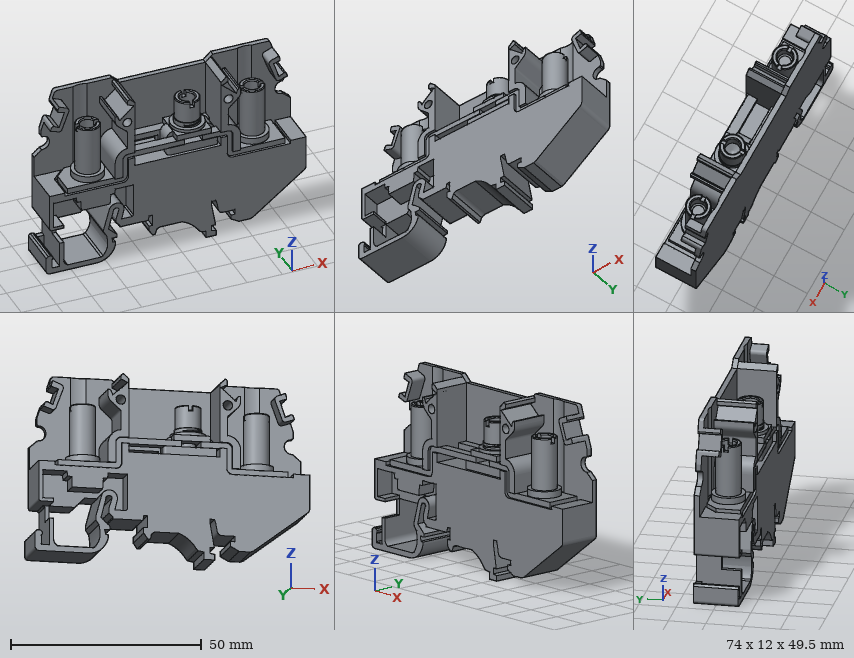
import cadquery as cq
import math


overall_length = 74.0
depth = 12.0
back_wall = 1.5
back_face = depth - back_wall
half_width = 36.5
foot_left = half_width - overall_length
housing_top = 49.5
centre_top = 47.5
shoulder_z = 24.25
base_bottom = 13.35
base_corner = 0.7
pocket_depth = 5.2
pocket_lip = 0.9
plate_overlap = 3.0
bay_half_width = 12.25
bay_floor = 27.8

axis_y = 5.5
bar_thickness = 1.6
bar_front = 0.7
bar_low = 23.3
bar_high = 30.2
bar_low_top = bar_low + bar_thickness
bar_high_top = bar_high + bar_thickness
bar_back = 10.3
bar_left_end = -31.2
bar_right_end = 30.8
bar_corner = 3.1
bar_inner = 14.1
bar_outer = bar_inner + bar_thickness
bar_bend = 1.6
bar_recess_end = 32.1
bar_slot_width = 4.2
bar_slot_y = (axis_y - bar_slot_width / 2, axis_y + bar_slot_width / 2)

terminal_x = 23.4
terminal_diameter = 6.8
terminal_top = 40.7
terminal_collar_diameter = 9.0
terminal_collar_height = 1.8
terminal_relief_radius = 5.4
disconnect_x = 4.95
disconnect_diameter = 6.85
disconnect_top = 41.8
disconnect_head_bottom = 35.7
shank_diameter = 4.2
bore_diameter = 4.2
bore_depth = 4.0
drill_angle = 118.0
bore_chamfer = 0.3
terminal_bore_floor = 3.2
rim_chamfer = 0.25
driver_slot_width = 1.2
driver_slot_depth = 1.5

block_width = 9.85
block_height = 1.6
washer_diameter = 9.5
washer_height = 0.9
spring_washer_diameter = 7.3
split_length = 6.0
split_offset = 1.0
split_gap = 0.35
split_tilt = 5.0
slide_left = -2.5
slide_right = 11.6
slide_corner = 0.75
slide_front = 0.9
block_front = 0.8
rib_half_length = 6.9
rib_corner = 2.5
bar_notch_left = 2.1
bar_notch_width = 5.2

probe_hole_diameter = 2.5
probe_hole_x = 14.4
probe_hole_z = 41.8
clip_front = 6.0
release_window_bottom = 8.9
strip_left = -33.65
strip_right = -32.5
strip_fillet = 0.45
foot_corner = 1.05
hook_groove_left = -35.8
hook_groove_floor = 1.7
hook_web_top = 5.05


def prism(outline, front, back):
    """Extrude a closed XZ outline from Y = front to Y = back."""
    return outline.extrude(front - back).translate((0, front, 0))


def sketch(x, z):
    return cq.Workplane("XZ").moveTo(x, z)


def box(x_range, y_range, z_range):
    size = [high - low for low, high in (x_range, y_range, z_range)]
    corner = (x_range[0], y_range[0], z_range[0])
    return cq.Workplane("XY").box(*size, centered=False).translate(corner)


def disc(x, diameter, bottom, top):
    return cq.Workplane("XY", origin=(x, axis_y, bottom)).circle(diameter / 2).extrude(top - bottom)


def mirrored(left):
    """A left-hand feature together with its right-hand twin."""
    return left.union(left.mirror("YZ"))


def base():
    """Solid lower housing with the rail feet and the sprung release foot."""
    outline = (
        sketch(-half_width, shoulder_z)
        .lineTo(-half_width, base_bottom + base_corner)
        .radiusArc((-half_width + base_corner, base_bottom), -base_corner)
        .lineTo(strip_left - strip_fillet, base_bottom)
        .lineTo(strip_left, base_bottom - strip_fillet)
        .lineTo(strip_left, hook_groove_floor)
        .lineTo(hook_groove_left + 0.2, hook_groove_floor)
        .lineTo(hook_groove_left, hook_groove_floor + 0.3)
        .lineTo(hook_groove_left, 4.2)
        .lineTo(-35.55, 4.5)
        .lineTo(-35.55, hook_web_top)
        .lineTo(-35.9, 5.4)
        .lineTo(-36.3, 5.6)
        .lineTo(-36.95, 5.6)
        .lineTo(foot_left, hook_web_top)
        .lineTo(foot_left, foot_corner)
        .radiusArc((foot_left + foot_corner, 0), -foot_corner)
        .lineTo(-22.9, 0)
        .threePointArc((-19.6, 1.3), (-17.75, 4.5))
        .lineTo(-17.75, 5.2)
        .lineTo(-18.5, 5.35)
        .lineTo(-18.75, 6.6)
        .lineTo(-17.3, 6.65)
        .lineTo(-17.3, 7.5)
        .lineTo(-19.75, 9.8)
        .lineTo(-18.3, 15.4)
        .threePointArc((-17.6, 15.8), (-16.75, 15.2))
        .lineTo(-17.6, 12.4)
        .lineTo(-17.6, 11.1)
        .lineTo(-16.5, 10.0)
        .lineTo(-16.5, 9.6)
        .lineTo(-8.5, 9.6)
        .lineTo(-8.2, 10.9)
        .lineTo(-7.3, 10.9)
        .lineTo(-7.3, 7.75)
        .lineTo(-8.25, 7.75)
        .lineTo(-8.25, 6.2)
        .lineTo(-7.2, 4.7)
        .lineTo(-6.5, 4.7)
        .lineTo(-6.0, 6.1)
        .threePointArc((-5.5, 6.5), (-4.5, 6.65))
        .lineTo(1.2, 6.65)
        .threePointArc((3.7, 5.2), (5.9, 2.75))
        .lineTo(6.4, 2.25)
        .lineTo(8.0, 1.95)
        .lineTo(8.0, 0)
        .lineTo(10.9, 0)
        .lineTo(10.9, 1.5)
        .lineTo(9.6, 1.75)
        .lineTo(9.6, 3.3)
        .lineTo(10.75, 3.3)
        .lineTo(9.6, 9.8)
        .lineTo(9.6, 10.9)
        .lineTo(10.8, 10.9)
        .lineTo(11.15, 9.8)
        .lineTo(11.5, 7.8)
        .threePointArc((12.0, 6.95), (12.75, 6.65))
        .lineTo(16.3, 6.65)
        .lineTo(16.3, 5.25)
        .lineTo(15.15, 5.2)
        .lineTo(15.15, 3.9)
        .lineTo(17.4, 2.65)
        .lineTo(20.5, 2.65)
        .lineTo(21.3, 2.95)
        .lineTo(35.6, 13.8)
        .threePointArc((36.25, 14.4), (half_width, 15.2))
        .lineTo(half_width, shoulder_z)
        .lineTo(bar_recess_end, shoulder_z)
        .lineTo(bar_recess_end, bar_low)
        .lineTo(bar_outer, bar_low)
        .threePointArc(bend_point(1), (bar_inner, bar_low + bar_bend))
        .lineTo(bar_inner, bar_high)
        .lineTo(bay_half_width, bar_high)
        .lineTo(bay_half_width, bay_floor)
        .lineTo(-bay_half_width, bay_floor)
        .lineTo(-bay_half_width, bar_high)
        .lineTo(-bar_inner, bar_high)
        .lineTo(-bar_inner, bar_low + bar_bend)
        .threePointArc(bend_point(-1), (-bar_outer, bar_low))
        .lineTo(-bar_recess_end, bar_low)
        .lineTo(-bar_recess_end, shoulder_z)
        .close()
    )
    return prism(outline, 0, depth)


def bend_point(side):
    """Middle of the rounded outer corner where the busbar turns upward."""
    inset = bar_bend * (1 - math.sqrt(0.5))
    return (side * (bar_inner + inset), bar_low + inset)


def upper_bend_point():
    """Middle of the rounded outer corner where the left leg meets the raised middle."""
    inset = bar_bend * (1 - math.sqrt(0.5))
    return (-bar_outer + inset, bar_high_top - inset)


def foot_opening():
    """Opening inside the release foot, right through the housing."""
    outline = (
        sketch(strip_right, base_bottom)
        .lineTo(strip_right, 3.5)
        .threePointArc((-32.2, 2.3), (-31.4, 1.55))
        .lineTo(-21.9, 1.55)
        .lineTo(-21.3, 1.85)
        .threePointArc((-20.4, 3.3), (-20.0, 4.8))
        .threePointArc((-20.05, 6.3), (-20.3, 7.8))
        .lineTo(-21.15, 9.0)
        .lineTo(-21.15, 10.0)
        .lineTo(-19.5, 16.0)
        .lineTo(-22.9, 16.0)
        .lineTo(-25.6, base_bottom)
        .close()
    )
    return prism(outline, 0, depth)


def base_pocket():
    """Blind pocket above the release foot."""
    lip_top = base_bottom + pocket_lip
    outline = (
        sketch(-35.4, lip_top)
        .lineTo(-35.4, 21.8)
        .lineTo(-28.9, 21.8)
        .lineTo(-28.75, 20.45)
        .lineTo(-27.6, 20.35)
        .lineTo(-27.5, 17.55)
        .lineTo(-19.3, 17.55)
        .lineTo(-19.1, 20.4)
        .lineTo(-18.0, 20.5)
        .lineTo(-17.8, 21.8)
        .lineTo(-12.65, 21.8)
        .lineTo(-12.65, 12.4)
        .lineTo(-13.05, 12.0)
        .lineTo(-16.0, 12.0)
        .lineTo(-15.35, 14.8)
        .threePointArc((-17.4, 17.3), (-19.5, 16.0))
        .lineTo(-22.9, 16.0)
        .lineTo(-25.6, base_bottom)
        .lineTo(strip_right, base_bottom)
        .lineTo(strip_right, lip_top)
        .close()
    )
    return prism(outline, 0, pocket_depth)


def hook_web():
    """Thin web closing the hook groove at the back."""
    x_range = (hook_groove_left - 0.5, strip_left)
    return box(x_range, (back_face, depth), (hook_groove_floor, hook_web_top))


def release_window():
    """Opening in the front part of the strip that joins the foot to the base."""
    x_range = (strip_left - strip_fillet, strip_right)
    return box(x_range, (0, pocket_depth), (release_window_bottom, base_bottom))


def back_plate():
    """Upper back wall with marker seats, hand notches and a lower middle."""
    half = (
        sketch(0, bar_low - plate_overlap)
        .lineTo(-half_width, bar_low - plate_overlap)
        .lineTo(-half_width, 30.2)
        .lineTo(-34.4, 32.0)
        .lineTo(-33.6, 32.15)
        .threePointArc((-32.1, 34.1), (-33.6, 36.0))
        .lineTo(-34.2, 36.05)
        .lineTo(-34.5, 36.4)
        .lineTo(-34.5, 38.1)
        .lineTo(-34.35, 38.6)
        .lineTo(-33.75, 40.4)
        .lineTo(-31.4, 40.0)
        .lineTo(-29.2, 46.0)
        .lineTo(-31.3, 47.35)
        .lineTo(-30.75, 49.0)
        .threePointArc((-30.4, 49.35), (-29.8, housing_top))
        .lineTo(-14.4, housing_top)
        .lineTo(-bay_half_width, centre_top)
        .lineTo(0, centre_top)
        .close()
    )
    return mirrored(prism(half, back_face, depth))


def marker_clips():
    """C-shaped marker holders on both outer edges."""
    left = (
        sketch(-31.3, 47.35)
        .lineTo(-29.2, 46.5)
        .threePointArc((-28.6, 46.0), (-28.5, 45.3))
        .lineTo(-30.45, 40.1)
        .threePointArc((-30.8, 39.7), (-31.4, 39.6))
        .lineTo(-33.75, 40.4)
        .lineTo(-33.5, 41.15)
        .threePointArc((-33.2, 41.55), (-32.7, 41.65))
        .lineTo(-32.35, 41.45)
        .lineTo(-31.3, 40.9)
        .lineTo(-29.8, 45.2)
        .lineTo(-31.65, 45.8)
        .lineTo(-31.65, 46.3)
        .close()
    )
    return mirrored(prism(left, clip_front, depth))


def partition_walls():
    """Walls beside the middle bay, each with a marker seat near its top."""
    left = (
        sketch(-bay_half_width, centre_top)
        .lineTo(-13.75, 48.9)
        .lineTo(-14.3, 48.4)
        .lineTo(-14.3, 47.3)
        .lineTo(-13.8, 47.1)
        .lineTo(-12.6, 46.5)
        .lineTo(-16.6, 42.95)
        .lineTo(-17.0, 44.0)
        .lineTo(-17.35, 44.4)
        .lineTo(-17.85, 44.4)
        .lineTo(-17.85, 43.0)
        .threePointArc((-17.66, 42.09), (-17.1, 41.3))
        .lineTo(-14.68, 39.1)
        .threePointArc((-14.43, 38.78), (-14.35, 38.4))
        .lineTo(-14.35, 33.7)
        .threePointArc((-16.75, 32.55), (-17.85, 29.85))
        .lineTo(-17.85, bar_low_top)
        .lineTo(-bar_outer, bar_low_top)
        .lineTo(-bar_outer, bar_high_top - bar_bend)
        .threePointArc(upper_bend_point(), (-bar_outer + bar_bend, bar_high_top))
        .lineTo(-bay_half_width, bar_high_top)
        .close()
    )
    walls = prism(left, 0, back_face)
    hole = sketch(-probe_hole_x, probe_hole_z).circle(probe_hole_diameter / 2)
    return mirrored(walls.cut(prism(hole, 0, back_face)))


def cornered_plan(left_end, right_end, front, back, corner):
    """Plan outline with its rear left corner cut off at 45 degrees."""
    return (
        cq.Workplane("XY")
        .moveTo(left_end, front)
        .lineTo(right_end, front)
        .lineTo(right_end, back)
        .lineTo(left_end + corner, back)
        .lineTo(left_end, back - corner)
        .close()
    )


def recess_corner():
    """Housing left standing in the rear left corner of the busbar recess."""
    size = bar_corner + back_face - bar_back
    plan = cornered_plan(-bar_recess_end, bar_recess_end, 0, back_face, size)
    inner = plan.extrude(shoulder_z - bar_low).translate((0, 0, bar_low))
    recess = box((-bar_recess_end, bar_recess_end), (0, back_face), (bar_low, shoulder_z))
    return recess.cut(inner)


def bar_notch():
    """Clearance in front of the screw shank."""
    x_range = (bar_notch_left, bar_notch_left + bar_notch_width)
    return box(x_range, (bar_front, axis_y), (bar_high, bar_high_top))


def busbar():
    """Bent current bar, slotted along its raised middle and notched at the screw."""
    half = (
        sketch(0, bar_high)
        .lineTo(-bar_inner, bar_high)
        .lineTo(-bar_inner, bar_low + bar_bend)
        .threePointArc(bend_point(-1), (-bar_outer, bar_low))
        .lineTo(bar_left_end, bar_low)
        .lineTo(bar_left_end, bar_low_top)
        .lineTo(-bar_outer, bar_low_top)
        .lineTo(-bar_outer, bar_high_top - bar_bend)
        .threePointArc(upper_bend_point(), (-bar_outer + bar_bend, bar_high_top))
        .lineTo(0, bar_high_top)
        .close()
    )
    bar = mirrored(prism(half, bar_front, bar_back))
    plan = cornered_plan(bar_left_end, bar_right_end, bar_front, bar_back, bar_corner)
    bar = bar.intersect(plan.extrude(housing_top))
    slot = box((-bay_half_width, bay_half_width), bar_slot_y, (bar_high, bar_high_top))
    return bar.cut(slot).cut(bar_notch())


def disconnect_slide():
    """Contact slide under the busbar, with a rounded rib rising through its slot."""
    slide = box((slide_left, slide_right), (slide_front, bar_back), (bay_floor, bar_high))
    slide = slide.edges("|Z and <X").fillet(slide_corner)
    rib_x = (disconnect_x - rib_half_length, disconnect_x + rib_half_length)
    block_top = bar_high_top + block_height
    rib = box(rib_x, bar_slot_y, (bar_high, block_top)).edges("|Y and >Z").fillet(rib_corner)
    slide = slide.cut(box((slide_left, rib_x[0]), bar_slot_y, (bay_floor, bar_high)))
    block_x = (disconnect_x - block_width / 2, disconnect_x + block_width / 2)
    block = box(block_x, (block_front, bar_back), (bar_high_top, block_top))
    return slide.union(rib.cut(bar_notch())).union(block)


def screw_head(x, diameter, bottom, top, bore_floor_diameter, slot_angle):
    """Slotted hollow head; its bore ends in a cone down to bore_floor_diameter."""
    head = disc(x, diameter, bottom, top).faces(">Z").chamfer(rim_chamfer)
    bore_radius = bore_diameter / 2
    floor_radius = bore_floor_diameter / 2
    cone_depth = (bore_radius - floor_radius) / math.tan(math.radians(drill_angle / 2))
    bore = (
        cq.Workplane("XZ")
        .lineTo(bore_radius + bore_chamfer, 0)
        .lineTo(bore_radius, -bore_chamfer)
        .lineTo(bore_radius, -bore_depth)
        .lineTo(floor_radius, -bore_depth - cone_depth)
    )
    if floor_radius > 0:
        bore = bore.lineTo(0, -bore_depth - cone_depth)
    bore = bore.close().revolve(360, (0, 0, 0), (0, 1, 0))
    slot = cq.Workplane("XY").box(2 * diameter, driver_slot_width, 2 * driver_slot_depth)
    slot = slot.rotate((0, 0, 0), (0, 0, 1), slot_angle)
    return head.cut(bore.union(slot).translate((x, axis_y, top)))


def terminal_screw(x):
    collar_top = bar_low_top + terminal_collar_height
    collar = disc(x, terminal_collar_diameter, bar_low_top, collar_top)
    head = screw_head(x, terminal_diameter, collar_top, terminal_top, terminal_bore_floor, 0)
    return collar.union(head)


def disconnect_screw():
    """Middle screw with shank, flat washer and spring washer."""
    washer_bottom = bar_high_top + block_height
    washer_top = washer_bottom + washer_height
    split_z = (washer_top + disconnect_head_bottom) / 2
    core = disc(disconnect_x, shank_diameter, washer_top, disconnect_head_bottom)
    split = (
        cq.Workplane("XY")
        .box(split_length, spring_washer_diameter / 2, split_gap)
        .rotate((0, 0, 0), (0, 1, 0), -split_tilt)
        .translate((disconnect_x + split_offset, axis_y - spring_washer_diameter / 2, split_z))
    )
    shank = disc(disconnect_x, shank_diameter, bar_high, washer_top)
    washer = disc(disconnect_x, washer_diameter, washer_bottom, washer_top)
    spring = disc(disconnect_x, spring_washer_diameter, washer_top, disconnect_head_bottom)
    head = screw_head(disconnect_x, disconnect_diameter, disconnect_head_bottom, disconnect_top, 0, 90)
    return shank.union(washer).union(spring.cut(split)).union(core).union(head)


housing = base().cut(foot_opening()).cut(base_pocket()).cut(release_window())
housing = housing.union(hook_web()).union(back_plate()).union(recess_corner())
housing = housing.union(marker_clips()).union(partition_walls())

wall_space = box((-half_width, half_width), (back_face, depth), (0, housing_top))
for screw_x in (-terminal_x, terminal_x):
    relief = disc(screw_x, 2 * terminal_relief_radius, bar_low_top, housing_top)
    housing = housing.cut(relief.intersect(wall_space))

result = housing.union(busbar()).union(disconnect_slide()).union(disconnect_screw())
for screw_x in (-terminal_x, terminal_x):
    result = result.union(terminal_screw(screw_x))